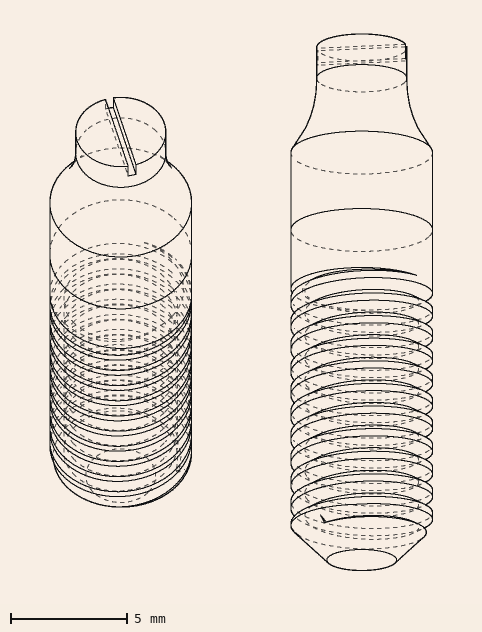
import cadquery as cq
import math

total_height = 23.15
body_radius = 3.05
neck_radius = 1.95

collar_bottom = 12.25
fixture_top = 14.92
flare_bottom = 18.41
flare_top = 21.68
abutment_top = 21.77

pitch = 1.021
root_radius = 2.45
groove_angle = 60.0
groove_start = 1.11
groove_turns = 11.3
groove_overshoot = 0.1
tip_chamfer = 1.55

slot_width = 0.35
slot_depth = 0.65
slot_direction = 120.0


def make_thread_groove():
    """Helical V cutter, from the tip chamfer to beyond the upper end of the shank."""
    cutter_radius = body_radius + groove_overshoot
    half_width = (cutter_radius - root_radius) * math.tan(math.radians(groove_angle / 2))
    helix = cq.Wire.makeHelix(pitch, groove_turns * pitch, root_radius)
    groove = (
        cq.Workplane("XZ")
        .polyline([(root_radius, 0), (cutter_radius, half_width), (cutter_radius, -half_width)])
        .close()
        .sweep(cq.Workplane(obj=helix), isFrenet=True)
    )
    return groove.translate((0, 0, groove_start))


def make_fixture():
    """Threaded shank with a conical tip, below a plain collar."""
    shank = (
        cq.Workplane("XY")
        .circle(body_radius)
        .extrude(collar_bottom)
        .faces("<Z")
        .chamfer(tip_chamfer)
        .cut(make_thread_groove())
    )
    collar = (
        cq.Workplane("XY")
        .workplane(offset=collar_bottom)
        .circle(body_radius)
        .extrude(fixture_top - collar_bottom)
    )
    return shank.union(collar)


def make_abutment():
    """Cylinder with a concave flare that runs tangentially into a short straight neck."""
    flare_height = flare_top - flare_bottom
    flare_width = body_radius - neck_radius
    flare_radius = (flare_height**2 + flare_width**2) / (2 * flare_width)
    half_sweep = math.asin(flare_height / flare_radius) / 2
    flare_middle = (
        neck_radius + flare_radius * (1 - math.cos(half_sweep)),
        flare_top - flare_radius * math.sin(half_sweep),
    )
    return (
        cq.Workplane("XZ")
        .moveTo(0, fixture_top)
        .lineTo(body_radius, fixture_top)
        .lineTo(body_radius, flare_bottom)
        .threePointArc(flare_middle, (neck_radius, flare_top))
        .lineTo(neck_radius, abutment_top)
        .lineTo(0, abutment_top)
        .close()
        .revolve(360, (0, 0, 0), (0, 1, 0))
    )


def make_cover_screw():
    """Round head with a straight driver slot across its top."""
    head = (
        cq.Workplane("XY")
        .workplane(offset=abutment_top)
        .circle(neck_radius)
        .extrude(total_height - abutment_top)
    )
    slot = (
        cq.Workplane("XY")
        .workplane(offset=total_height - slot_depth)
        .rect(3 * neck_radius, slot_width)
        .extrude(slot_depth)
        .rotate((0, 0, 0), (0, 0, 1), slot_direction)
    )
    return head.cut(slot)


fixture = make_fixture()
abutment = make_abutment()
cover_screw = make_cover_screw()

result = cq.Compound.makeCompound([*fixture.solids().vals(), abutment.val(), *cover_screw.solids().vals()])